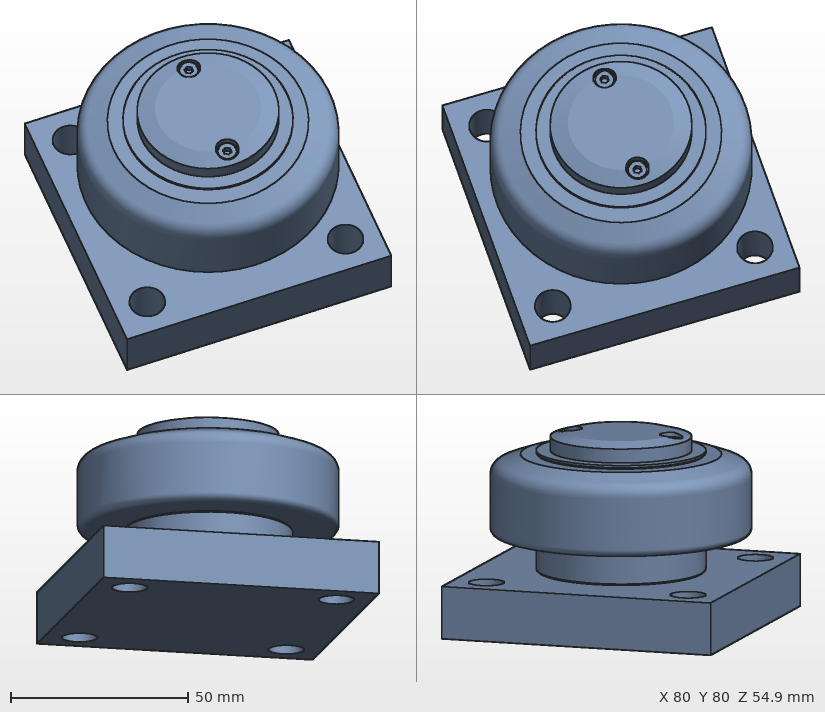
import cadquery as cq
import math

plate_side = 80.0
plate_thickness = 15.0
mount_hole_diameter = 10.1
mount_hole_pitch = 60.0

neck_radius = 24.0
neck_chamfer = 0.5

roller_radius = 37.0
roller_bottom = 25.5
roller_top = 48.4
roller_lower_round = 2.0
roller_upper_round = 4.2
roller_flat_radius = 28.4
roller_cone_angle = math.radians(19)

core_radius = neck_radius - neck_chamfer
washer_top = 49.5
cap_radius = 20.0
cap_top = 54.9
cap_flat_radius = 30.0 / 2
cap_cone_height = 1.4

bore_diameter = 6.5
bore_depth = 1.8
head_diameter = 5.4
head_depth = 1.2
socket_across_corners = 2.5
socket_depth = 1.6


def make_plate():
    half_pitch = mount_hole_pitch / 2
    corners = [(x, y) for x in (-half_pitch, half_pitch) for y in (-half_pitch, half_pitch)]
    plate = cq.Workplane("XY").box(plate_side, plate_side, plate_thickness, centered=(True, True, False))
    return plate.faces(">Z").workplane().pushPoints(corners).hole(mount_hole_diameter)


def make_roller():
    """Revolve the roller: rounded lower edge, larger upper round running into a shallow cone."""
    arc_center_radius = roller_radius - roller_upper_round
    cone_outer_radius = arc_center_radius + roller_upper_round * math.sin(roller_cone_angle)
    cone_drop = (cone_outer_radius - roller_flat_radius) * math.tan(roller_cone_angle)
    cone_bottom = roller_top - cone_drop
    arc_center_z = cone_bottom - roller_upper_round * math.cos(roller_cone_angle)
    mid_angle = (math.pi / 2 - roller_cone_angle) / 2
    arc_middle = (
        arc_center_radius + roller_upper_round * math.cos(mid_angle),
        arc_center_z + roller_upper_round * math.sin(mid_angle),
    )
    return (
        cq.Workplane("XZ")
        .moveTo(0, roller_bottom)
        .lineTo(roller_radius - roller_lower_round, roller_bottom)
        .radiusArc((roller_radius, roller_bottom + roller_lower_round), -roller_lower_round)
        .lineTo(roller_radius, arc_center_z)
        .threePointArc(arc_middle, (cone_outer_radius, cone_bottom))
        .lineTo(roller_flat_radius, roller_top)
        .lineTo(0, roller_top)
        .close()
        .revolve()
    )


def make_core():
    """Revolve the neck, the core through the roller, the washer and the end cap."""
    profile = [
        (0, plate_thickness),
        (core_radius, plate_thickness),
        (neck_radius, plate_thickness + neck_chamfer),
        (neck_radius, roller_bottom - neck_chamfer),
        (core_radius, roller_bottom),
        (core_radius, roller_top),
        (neck_radius, roller_top + neck_chamfer),
        (neck_radius, washer_top),
        (cap_radius, washer_top),
        (cap_radius, cap_top - cap_cone_height),
        (cap_flat_radius, cap_top),
        (0, cap_top),
    ]
    return cq.Workplane("XZ").polyline(profile).close().revolve()


def make_recess(x):
    """Material to remove for a round bore with a socket screw head standing in it."""
    head_top = cap_top - head_depth
    bore_floor = cap_top - bore_depth
    bore = cq.Workplane("XY", origin=(x, 0, bore_floor)).circle(bore_diameter / 2).extrude(bore_depth)
    head = (
        cq.Workplane("XY", origin=(x, 0, bore_floor))
        .circle(head_diameter / 2)
        .extrude(bore_depth - head_depth)
    )
    socket = (
        cq.Workplane("XY", origin=(x, 0, head_top - socket_depth))
        .polygon(6, socket_across_corners)
        .extrude(socket_depth)
    )
    return bore.cut(head).union(socket)


result = make_plate().union(make_core()).union(make_roller())
for recess_x in (-cap_flat_radius, cap_flat_radius):
    result = result.cut(make_recess(recess_x))